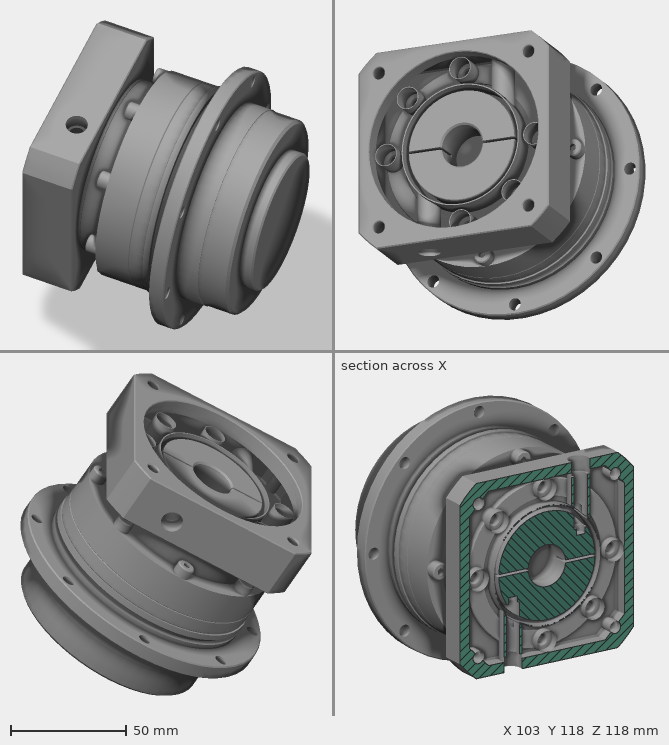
import cadquery as cq
import math


PLATE_SIZE = 90.0
PLATE_THICKNESS = 23.7
PLATE_CORNER_RADIUS = 58.0
PLATE_CHAMFER = 0.5
PILOT_RADIUS = 40.0
PILOT_DEPTH = 7.0
PILOT_CHAMFER = 0.4
CAVITY_SIZE = 2 * PILOT_RADIUS
CAVITY_CORNER_DISTANCE = 49.6
CAVITY_FLOOR_X = 18.6
CAVITY_FLOOR_CHAMFER = 0.7
PAD_RADIUS = 38.7
PAD_FACE_X = 16.0
PAD_CHAMFER = 0.4
PAD_RECESS_RADIUS = 30.5
PAD_RECESS_DEPTH = 1.2
SPIGOT_END_X = 24.9
MOTOR_HOLE_OFFSET = 50.0 / math.sqrt(2)
MOTOR_HOLE_RADIUS = 2.7
MOTOR_HOLE_CHAMFER = 0.4
MOTOR_HOLE_DEPTH = 15.0

TUBE_RADIUS = 5.1
TUBE_WALL = 0.3
SCREW_TUBE_CIRCLE = 35.0
SCREW_TUBE_ANGLES = (0, 45, 90, 180, 225, 270)
FIXING_HOLE_RADIUS = 2.1
FIXING_HOLE_CHAMFER = 0.7
FIXING_HOLE_DEPTH = 6.0
ACCESS_X = 14.0
ACCESS_Y = 17.5
ACCESS_SEAT_Z = 38.0

SLEEVE_RADIUS = 27.7
SLEEVE_WALL = 0.5
SLEEVE_FACE_X = 7.3
HUB_RADIUS = 25.0
HUB_FACE_X = 8.5
HUB_EDGE_CHAMFER = 0.3
HUB_WEB_X = 20.0
HUB_BORE_RADIUS = 9.5
HUB_BORE_CHAMFER = 0.8
SLIT_WIDTH = 1.2
CLAMP_HEAD_RADIUS = 3.6
CLAMP_HEAD_SEAT_Z = 14.0
CLAMP_SOCKET_RADIUS = 2.6
CLAMP_SOCKET_DEPTH = 3.0
HUB_CLEARANCE = 0.3

NECK_RADIUS = 39.0
SHOULDER_X = 35.4
CASE_RADIUS = 46.8
CASE_JOINT_X = 51.1
CASE_END_X = 57.8
JOINT_CHAMFER = 0.3
SEAL_LAND_RADIUS = 47.4
SEAL_GROOVE_START_X = 60.6
SEAL_GROOVE_END_X = 63.4
BARREL_RADIUS = 44.9
FLANGE_RADIUS = 59.0
FLANGE_START_X = 65.8
FLANGE_END_X = 72.8
FLANGE_CHAMFER = 0.5
BARREL_STEP_X = 83.0
NOSE_RADIUS = 44.5
NOSE_END_X = 97.0
NOSE_CHAMFER = 1.2
FLANGE_HOLE_COUNT = 8
FLANGE_HOLE_CIRCLE = 54.5
FLANGE_HOLE_RADIUS = 2.75

CASE_SCREW_COUNT = 8
SCREW_HEAD_RADIUS = 3.9
CASE_SCREW_CIRCLE = CASE_RADIUS - SCREW_HEAD_RADIUS
SCREW_HEAD_HEIGHT = 4.9
SCREW_HEAD_CHAMFER = 0.5
SCREW_SOCKET_WIDTH = 3.0
SCREW_SOCKET_DEPTH = 2.0
SCREW_TIP_RADIUS = 2.2
SCREW_TIP_LENGTH = 0.4

OUTPUT_RADIUS = 31.5
OUTPUT_END_X = 103.0
OUTPUT_CHAMFER = 0.8

DRILL_POINT_ANGLE = 118.0


def revolved(profile):
    """Revolve (x, radius) points around the X axis."""
    return cq.Workplane("XY").polyline(profile).close().revolve(360, (0, 0, 0), (1, 0, 0))


def cylinder(start_x, end_x, radius, y=0.0, z=0.0):
    """Solid cylinder along X, centred at (y, z)."""
    return cq.Workplane("YZ", origin=(start_x, y, z)).circle(radius).extrude(end_x - start_x)


def polar(radius, angle):
    """(y, z) of a point at an angle measured from +Y towards +Z."""
    turn = math.radians(angle)
    return radius * math.cos(turn), radius * math.sin(turn)


def even_angles(count):
    return [index * 360.0 / count for index in range(count)]


def drilled_hole(start_x, radius, depth, chamfer, y, z):
    """Blind hole with a chamfered mouth and a conical drill point."""
    point_length = radius / math.tan(math.radians(DRILL_POINT_ANGLE / 2))
    profile = [
        (start_x, 0),
        (start_x, radius + chamfer),
        (start_x + chamfer, radius),
        (start_x + depth, radius),
        (start_x + depth + point_length, 0),
    ]
    return revolved(profile).translate((0, y, z))


def access_cylinder(radius, start_z, side):
    """Cylinder along Z over the clamp screw, from start_z out past the plate edge (side = +1 or -1)."""
    base = cq.Workplane("XY", origin=(ACCESS_X, -side * ACCESS_Y, side * start_z))
    return base.circle(radius).extrude(side * PLATE_SIZE / 2)


def plate_blank():
    square = cq.Workplane("YZ").rect(PLATE_SIZE, PLATE_SIZE).extrude(PLATE_THICKNESS)
    block = square.intersect(cylinder(0, PLATE_THICKNESS, PLATE_CORNER_RADIUS))
    block = block.faces("<X or >X").chamfer(PLATE_CHAMFER)
    return block.union(cylinder(PLATE_THICKNESS - PLATE_CHAMFER, SPIGOT_END_X, NECK_RADIUS))


def plate_cavity():
    corner_leg = CAVITY_SIZE - CAVITY_CORNER_DISTANCE * math.sqrt(2)
    cavity = (
        cq.Workplane("YZ", origin=(PILOT_DEPTH, 0, 0))
        .rect(CAVITY_SIZE, CAVITY_SIZE)
        .extrude(CAVITY_FLOOR_X - PILOT_DEPTH)
        .edges("|X")
        .chamfer(corner_leg)
        .faces(">X")
        .chamfer(CAVITY_FLOOR_CHAMFER)
    )
    pad = cylinder(PAD_FACE_X, CAVITY_FLOOR_X, PAD_RADIUS).faces("<X").chamfer(PAD_CHAMFER)
    return cavity.cut(pad)


def pilot_bore():
    return revolved([
        (0, 0),
        (0, PILOT_RADIUS + PILOT_CHAMFER),
        (PILOT_CHAMFER, PILOT_RADIUS),
        (PILOT_DEPTH, PILOT_RADIUS),
        (PILOT_DEPTH, 0),
    ])


def make_adapter_plate():
    plate = plate_blank().cut(pilot_bore()).cut(plate_cavity())

    cavity_space = cq.Workplane("YZ").rect(CAVITY_SIZE, CAVITY_SIZE).extrude(PLATE_THICKNESS)
    hub_space = cylinder(0, SPIGOT_END_X, SLEEVE_RADIUS + HUB_CLEARANCE)
    for side in (1, -1):
        plate = plate.union(access_cylinder(TUBE_RADIUS, 0, side).intersect(cavity_space).cut(hub_space))
    for angle in SCREW_TUBE_ANGLES:
        place = polar(SCREW_TUBE_CIRCLE, angle)
        plate = plate.union(cylinder(PILOT_DEPTH, CAVITY_FLOOR_X, TUBE_RADIUS, *place))

    plate = plate.cut(hub_space)
    plate = plate.cut(cylinder(PAD_FACE_X, PAD_FACE_X + PAD_RECESS_DEPTH, PAD_RECESS_RADIUS))
    for side in (1, -1):
        plate = plate.cut(access_cylinder(TUBE_RADIUS - TUBE_WALL, ACCESS_SEAT_Z, side))
        plate = plate.cut(access_cylinder(CLAMP_HEAD_RADIUS, 0, side))
    for angle in SCREW_TUBE_ANGLES:
        place = polar(SCREW_TUBE_CIRCLE, angle)
        plate = plate.cut(cylinder(PILOT_DEPTH, PAD_FACE_X, TUBE_RADIUS - TUBE_WALL, *place))
        plate = plate.cut(
            drilled_hole(PAD_FACE_X, FIXING_HOLE_RADIUS, FIXING_HOLE_DEPTH, FIXING_HOLE_CHAMFER, *place)
        )
    for y in (-MOTOR_HOLE_OFFSET, MOTOR_HOLE_OFFSET):
        for z in (-MOTOR_HOLE_OFFSET, MOTOR_HOLE_OFFSET):
            plate = plate.union(cylinder(PILOT_DEPTH, CAVITY_FLOOR_X, MOTOR_HOLE_RADIUS + TUBE_WALL, y, z))
            plate = plate.cut(drilled_hole(0, MOTOR_HOLE_RADIUS, MOTOR_HOLE_DEPTH, MOTOR_HOLE_CHAMFER, y, z))
    return plate


def make_clamping_hub():
    gap_radius = SLEEVE_RADIUS - SLEEVE_WALL
    hub = revolved([
        (HUB_FACE_X, HUB_BORE_RADIUS + HUB_BORE_CHAMFER),
        (HUB_FACE_X, HUB_RADIUS - HUB_EDGE_CHAMFER),
        (HUB_FACE_X + HUB_EDGE_CHAMFER, HUB_RADIUS),
        (HUB_WEB_X, HUB_RADIUS),
        (HUB_WEB_X, gap_radius),
        (SLEEVE_FACE_X, gap_radius),
        (SLEEVE_FACE_X, SLEEVE_RADIUS),
        (SPIGOT_END_X, SLEEVE_RADIUS),
        (SPIGOT_END_X, HUB_BORE_RADIUS),
        (HUB_FACE_X + HUB_BORE_CHAMFER, HUB_BORE_RADIUS),
    ])
    slit = (
        cq.Workplane("YZ", origin=(HUB_FACE_X, 0, 0))
        .rect(2 * HUB_RADIUS, SLIT_WIDTH)
        .extrude(HUB_WEB_X - HUB_FACE_X)
    )
    hub = hub.cut(slit)
    for side in (1, -1):
        seat = cq.Workplane("XY", origin=(ACCESS_X, -side * ACCESS_Y, side * CLAMP_HEAD_SEAT_Z))
        hub = hub.cut(seat.circle(CLAMP_HEAD_RADIUS).extrude(side * SLEEVE_RADIUS))
        hub = hub.cut(seat.circle(CLAMP_SOCKET_RADIUS).extrude(-side * CLAMP_SOCKET_DEPTH))
    return hub


def housing_blank():
    return revolved([
        (SPIGOT_END_X, 0),
        (SPIGOT_END_X, NECK_RADIUS - JOINT_CHAMFER),
        (SPIGOT_END_X + JOINT_CHAMFER, NECK_RADIUS),
        (SHOULDER_X, NECK_RADIUS),
        (SHOULDER_X, CASE_RADIUS),
        (CASE_JOINT_X - JOINT_CHAMFER, CASE_RADIUS),
        (CASE_JOINT_X, CASE_RADIUS - JOINT_CHAMFER),
        (CASE_JOINT_X + JOINT_CHAMFER, CASE_RADIUS),
        (CASE_END_X - JOINT_CHAMFER, CASE_RADIUS),
        (CASE_END_X, CASE_RADIUS - JOINT_CHAMFER),
        (CASE_END_X, SEAL_LAND_RADIUS),
        (SEAL_GROOVE_START_X, SEAL_LAND_RADIUS),
        (SEAL_GROOVE_START_X, BARREL_RADIUS),
        (SEAL_GROOVE_END_X, BARREL_RADIUS),
        (SEAL_GROOVE_END_X, SEAL_LAND_RADIUS),
        (FLANGE_START_X, SEAL_LAND_RADIUS),
        (FLANGE_START_X, FLANGE_RADIUS - FLANGE_CHAMFER),
        (FLANGE_START_X + FLANGE_CHAMFER, FLANGE_RADIUS),
        (FLANGE_END_X - FLANGE_CHAMFER, FLANGE_RADIUS),
        (FLANGE_END_X, FLANGE_RADIUS - FLANGE_CHAMFER),
        (FLANGE_END_X, BARREL_RADIUS),
        (BARREL_STEP_X, BARREL_RADIUS),
        (BARREL_STEP_X, NOSE_RADIUS),
        (NOSE_END_X - NOSE_CHAMFER, NOSE_RADIUS),
        (NOSE_END_X, NOSE_RADIUS - NOSE_CHAMFER),
        (NOSE_END_X, 0),
    ])


def screw_head(y, z):
    face_x = SHOULDER_X - SCREW_HEAD_HEIGHT
    head = cylinder(face_x, SHOULDER_X, SCREW_HEAD_RADIUS, y, z).faces("<X").chamfer(SCREW_HEAD_CHAMFER)
    socket = (
        cq.Workplane("YZ", origin=(face_x, y, z))
        .polygon(6, SCREW_SOCKET_WIDTH, circumscribed=True)
        .extrude(SCREW_SOCKET_DEPTH)
    )
    return head.cut(socket)


def make_housing():
    housing = housing_blank()
    for angle in even_angles(CASE_SCREW_COUNT):
        place = polar(CASE_SCREW_CIRCLE, angle)
        tip_end_x = SEAL_GROOVE_START_X + SCREW_TIP_LENGTH
        housing = housing.union(screw_head(*place))
        housing = housing.union(cylinder(CASE_END_X, tip_end_x, SCREW_TIP_RADIUS, *place))
    for angle in even_angles(FLANGE_HOLE_COUNT):
        place = polar(FLANGE_HOLE_CIRCLE, angle)
        housing = housing.cut(cylinder(FLANGE_START_X, FLANGE_END_X, FLANGE_HOLE_RADIUS, *place))
    return housing


def make_output_disc():
    return cylinder(NOSE_END_X, OUTPUT_END_X, OUTPUT_RADIUS).faces(">X").chamfer(OUTPUT_CHAMFER)


adapter_plate = make_adapter_plate()
clamping_hub = make_clamping_hub()
housing = make_housing()
output_disc = make_output_disc()

result = cq.Compound.makeCompound([
    adapter_plate.val(),
    clamping_hub.val(),
    housing.val(),
    output_disc.val(),
])